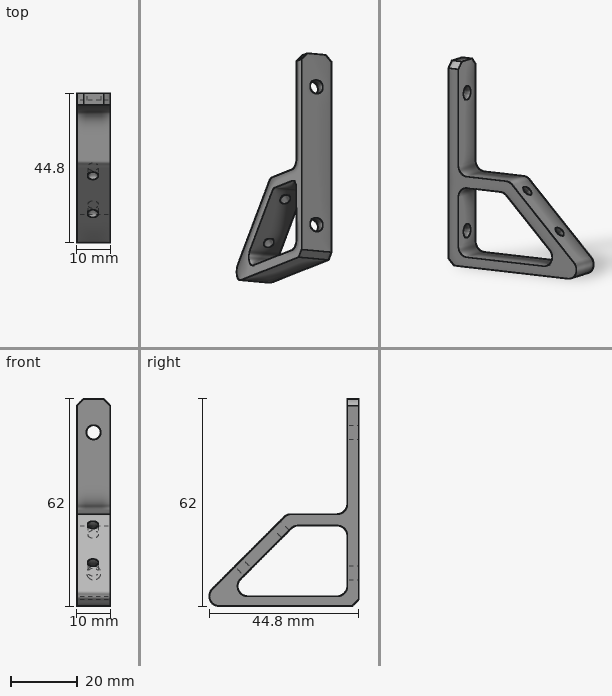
import cadquery as cq
import math

width = 10.0
reach = 44.77
height = 62.0

wall_thickness = 3.5
base_thickness = 3.0
arm_top = 27.57
arm_thickness = 3.5
brace_thickness = 3.9
brace_angle = math.radians(45)

fillet_radius = 3.0
chamfer = 2.0

mount_hole_diameter = 4.2
mount_hole_heights = (10.0, 52.0)

brace_hole_diameter = 3.2
brace_hole_spacing = 16.0
brace_first_hole = 4.6
brace_hole_x = -0.2
brace_drill_depth = 8.0

slope_run = 1 / math.tan(brace_angle)
tip_setback = fillet_radius * (1 / math.tan(brace_angle / 2) - 1)
tip_reach = reach + tip_setback
arm_reach = tip_reach - arm_top * slope_run

window_top = arm_top - arm_thickness
inner_slope_reach = tip_reach - brace_thickness / math.sin(brace_angle)
window_top_reach = inner_slope_reach - window_top * slope_run
window_base_reach = inner_slope_reach - base_thickness * slope_run


def side_prism(points):
    """Extrude (Y, Z) points across the full width, centred on X = 0."""
    return cq.Workplane("YZ").polyline(points).close().extrude(width / 2, both=True)


def edge_at(y, z):
    """Select the X-direction edge passing through (Y, Z)."""
    return cq.selectors.NearestToPointSelector((0, y, z))


def round_corners(body, corners):
    for y, z in corners:
        body = body.edges("|X").edges(edge_at(y, z)).fillet(fillet_radius)
    return body


def make_bracket():
    inner_corner = (-wall_thickness, arm_top)
    arm_corner = (-arm_reach, arm_top)
    tip_corner = (-tip_reach, 0)
    outline = [
        (0, chamfer),
        (0, height),
        (-wall_thickness, height),
        inner_corner,
        arm_corner,
        tip_corner,
        (-chamfer, 0),
    ]
    return round_corners(side_prism(outline), [inner_corner, arm_corner, tip_corner])


def make_window():
    corners = [
        (-wall_thickness, base_thickness),
        (-wall_thickness, window_top),
        (-window_top_reach, window_top),
        (-window_base_reach, base_thickness),
    ]
    return round_corners(side_prism(corners), corners)


def chamfer_top(body):
    return body.faces(">Z").edges("|Y").chamfer(chamfer)


def drill_mount_holes(body):
    for z in mount_hole_heights:
        drill = cq.Solid.makeCylinder(
            mount_hole_diameter / 2, wall_thickness, cq.Vector(0, 0, z), cq.Vector(0, -1, 0)
        )
        body = body.cut(cq.Workplane(drill))
    return body


def drill_brace_holes(body):
    down_slope = cq.Vector(0, -math.cos(brace_angle), -math.sin(brace_angle))
    inward = cq.Vector(0, math.sin(brace_angle), -math.cos(brace_angle))
    slope_start = cq.Vector(brace_hole_x, -arm_reach, arm_top)
    for distance in (brace_first_hole, brace_first_hole + brace_hole_spacing):
        entry = slope_start + down_slope * distance
        drill = cq.Solid.makeCylinder(brace_hole_diameter / 2, brace_drill_depth, entry, inward)
        body = body.cut(cq.Workplane(drill))
    return body


bracket = make_bracket().cut(make_window())
bracket = chamfer_top(bracket)
bracket = drill_mount_holes(bracket)
result = drill_brace_holes(bracket)